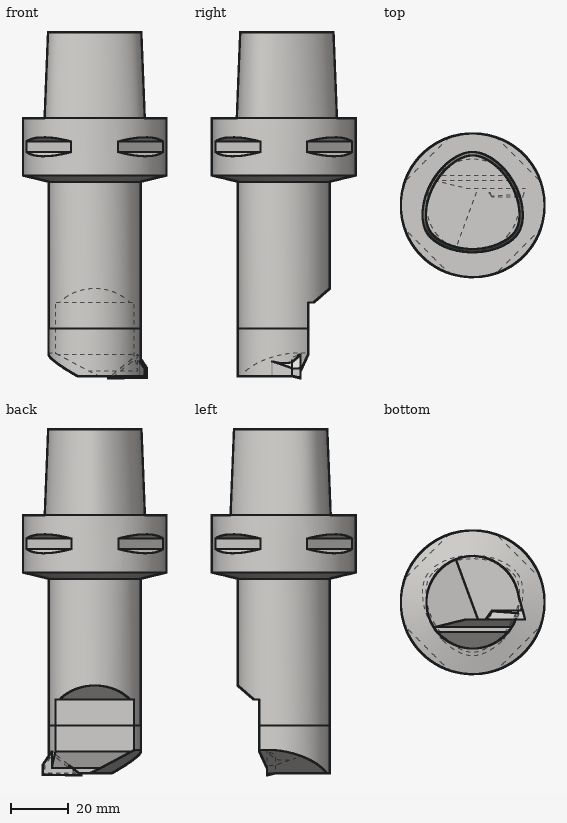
import cadquery as cq
import math


TAPER_HEIGHT = 29.8
TAPER_BASE_RADIUS = 17.4
TAPER_TOP_RADIUS = 16.2
LOBE_HEIGHT = 1.1
LOBE_COUNT = 3
OUTLINE_POINTS = 48

FLANGE_RADIUS = 50.0 / 2
FLANGE_HEIGHT = 19.9
FLANGE_CONE_HEIGHT = 2.2

SLOT_COUNT = 4
SLOT_Z = -FLANGE_HEIGHT / 2
SLOT_FLOOR_DISTANCE = 22.5
SLOT_FLOOR_WIDTH = 3.6
SLOT_MOUTH_WIDTH = 6.6
SLOT_OVERRUN = 1.2

BAR_RADIUS = 32.0 / 2
JOINT_Z = -73.0
HEAD_BOTTOM_Z = -89.6

CLEARANCE_TOP_Z = -59.1
CLEARANCE_STEP_Z = -64.0
CLEARANCE_STEP_Y = 10.3
CLEARANCE_FLAT_Y = 8.5
RAKE_TOP_Z = -81.9
RAKE_BOTTOM_Z = -87.7
RAKE_FACE_Y = 5.9

RELIEF_Z = -81.9
RELIEF_SLOPE_X = -0.49
RELIEF_SLOPE_Y = 0.18

INSERT_TIP_X = 18.1
INSERT_TIP_Z = -90.0
INSERT_SHOULDER_Z = -86.7
INSERT_TOP_X = 14.9
INSERT_TOP_Z = -81.9
INSERT_HEEL_X = 4.6
INSERT_BOTTOM_Z = TAPER_HEIGHT - 120.1
INSERT_THICKNESS = 3.0
INSERT_TAPER = 14.0

LUG_X = 17.3
LUG_SHOULDER_Z = -86.7
LUG_ROOT_X = 15.6
LUG_ROOT_Z = -84.4

CUT_SIZE = 4 * FLANGE_RADIUS


def polygon_point(radius, angle):
    """Point on the rounded polygon whose tangent is square to the given angle."""
    phase = LOBE_COUNT * (angle - math.pi / 2)
    support = radius + LOBE_HEIGHT * math.cos(phase)
    slope = -LOBE_COUNT * LOBE_HEIGHT * math.sin(phase)
    return (
        support * math.cos(angle) - slope * math.sin(angle),
        support * math.sin(angle) + slope * math.cos(angle),
    )


def polygon_outline(radius):
    step = 2 * math.pi / OUTLINE_POINTS
    return [polygon_point(radius, i * step) for i in range(OUTLINE_POINTS)]


def make_taper():
    return (
        cq.Workplane("XY")
        .spline(polygon_outline(TAPER_BASE_RADIUS), periodic=True).close()
        .workplane(offset=TAPER_HEIGHT)
        .spline(polygon_outline(TAPER_TOP_RADIUS), periodic=True).close()
        .loft(ruled=True)
    )


def make_flange_and_bar():
    profile = [
        (0, 0),
        (FLANGE_RADIUS, 0),
        (FLANGE_RADIUS, -FLANGE_HEIGHT),
        (BAR_RADIUS, -FLANGE_HEIGHT - FLANGE_CONE_HEIGHT),
        (BAR_RADIUS, JOINT_Z),
        (0, JOINT_Z),
    ]
    return cq.Workplane("XZ").polyline(profile).close().revolve(360, (0, 0), (0, 1))


def slot_cutter(angle):
    """Straight slot across the rim, flaring outwards from its flat floor."""
    outer_distance = FLANGE_RADIUS + SLOT_OVERRUN
    flare = (SLOT_MOUTH_WIDTH - SLOT_FLOOR_WIDTH) / 2 / (FLANGE_RADIUS - SLOT_FLOOR_DISTANCE)
    floor_half = SLOT_FLOOR_WIDTH / 2
    outer_half = floor_half + flare * (outer_distance - SLOT_FLOOR_DISTANCE)
    profile = [
        (SLOT_FLOOR_DISTANCE, SLOT_Z - floor_half),
        (outer_distance, SLOT_Z - outer_half),
        (outer_distance, SLOT_Z + outer_half),
        (SLOT_FLOOR_DISTANCE, SLOT_Z + floor_half),
    ]
    slot = cq.Workplane("XZ").polyline(profile).close().extrude(FLANGE_RADIUS, both=True)
    return slot.rotate((0, 0, 0), (0, 0, 1), angle)


def clearance_cutter():
    """Material removed in front of the cutting edge, along the whole X width."""
    outside_y = 2 * BAR_RADIUS
    profile = [
        (outside_y, CLEARANCE_TOP_Z),
        (BAR_RADIUS, CLEARANCE_TOP_Z),
        (CLEARANCE_STEP_Y, CLEARANCE_STEP_Z),
        (CLEARANCE_FLAT_Y, CLEARANCE_STEP_Z),
        (CLEARANCE_FLAT_Y, RAKE_TOP_Z),
        (RAKE_FACE_Y, RAKE_BOTTOM_Z),
        (RAKE_FACE_Y, -CUT_SIZE),
        (outside_y, -CUT_SIZE),
    ]
    return cq.Workplane("YZ").polyline(profile).close().extrude(CUT_SIZE / 2, both=True)


def relief_cutter():
    """Block whose upper face is the sloping relief plane."""
    plane = cq.Plane(
        origin=(-BAR_RADIUS, 0, RELIEF_Z),
        xDir=(1, 0, RELIEF_SLOPE_X),
        normal=(-RELIEF_SLOPE_X, -RELIEF_SLOPE_Y, 1),
    )
    return cq.Workplane(plane).rect(CUT_SIZE, CUT_SIZE).extrude(-CUT_SIZE)


def make_holder():
    holder = make_taper().union(make_flange_and_bar())
    slot_pitch = 360 / SLOT_COUNT
    for i in range(SLOT_COUNT):
        holder = holder.cut(slot_cutter((i + 0.5) * slot_pitch))
    return holder.cut(clearance_cutter())


def make_insert():
    outline = [
        (INSERT_HEEL_X, INSERT_BOTTOM_Z),
        (INSERT_TIP_X, INSERT_TIP_Z),
        (INSERT_TIP_X, INSERT_SHOULDER_Z),
        (INSERT_TOP_X, INSERT_TOP_Z),
    ]
    return (
        cq.Workplane("XZ", origin=(0, RAKE_FACE_Y, 0))
        .polyline(outline).close()
        .extrude(INSERT_THICKNESS, taper=INSERT_TAPER)
    )


def make_lug():
    """Lug that leaves the head tangentially and ends at the back of the insert."""
    back_y = RAKE_FACE_Y - INSERT_THICKNESS
    corner_distance = math.hypot(LUG_X, back_y)
    tangent_angle = math.atan2(back_y, LUG_X) - math.acos(BAR_RADIUS / corner_distance)
    tangent_point = (BAR_RADIUS * math.cos(tangent_angle), BAR_RADIUS * math.sin(tangent_angle))
    section = [(0, 0), tangent_point, (LUG_X, back_y), (0, back_y)]
    outline = [
        (0, HEAD_BOTTOM_Z),
        (LUG_X, HEAD_BOTTOM_Z),
        (LUG_X, LUG_SHOULDER_Z),
        (LUG_ROOT_X, LUG_ROOT_Z),
        (0, LUG_ROOT_Z),
    ]
    lug = (
        cq.Workplane("XY", origin=(0, 0, HEAD_BOTTOM_Z))
        .polyline(section).close().extrude(JOINT_Z - HEAD_BOTTOM_Z)
    )
    side_shape = cq.Workplane("XZ").polyline(outline).close().extrude(BAR_RADIUS, both=True)
    return lug.intersect(side_shape)


def make_head(insert):
    head = (
        cq.Workplane("XY", origin=(0, 0, HEAD_BOTTOM_Z))
        .circle(BAR_RADIUS).extrude(JOINT_Z - HEAD_BOTTOM_Z)
    )
    head = head.union(make_lug())
    return head.cut(clearance_cutter()).cut(relief_cutter()).cut(insert)


holder = make_holder()
insert = make_insert()
head = make_head(insert)

result = cq.Compound.makeCompound([body.solids().val() for body in (holder, head, insert)])